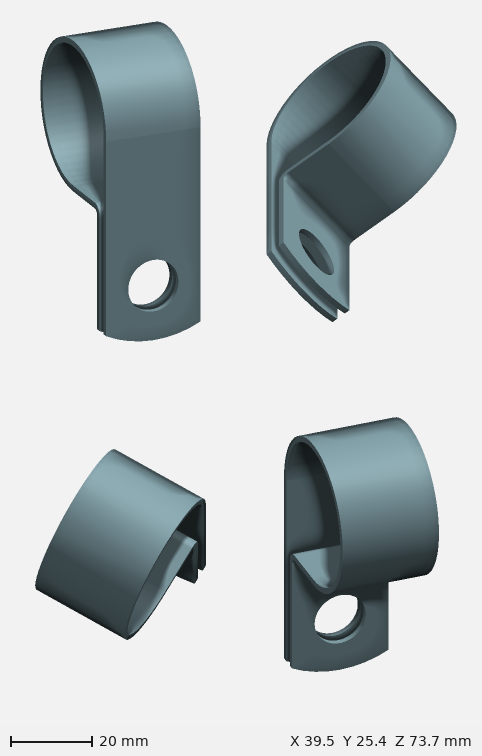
import cadquery as cq
import math

inner_diameter = 36.5
thickness = 1.524
width = 25.4
drop = 53.95
leg_gap = 2.38
bend_inner_radius = 1.45
hole_diameter = 13.49
hole_to_tip = 14.29
tip_radius = 28.58

inner_radius = inner_diameter / 2
outer_radius = inner_radius + thickness
bend_outer_radius = bend_inner_radius + thickness
short_leg_outer_x = inner_radius - leg_gap
short_leg_inner_x = short_leg_outer_x - thickness
bend_x = short_leg_outer_x - bend_outer_radius
bend_z = -inner_radius - bend_outer_radius


def loop_midpoint(radius):
    """Midpoint of the three-quarter-circle arc of the loop."""
    offset = radius * math.sqrt(0.5)
    return (-offset, offset)


def bend_midpoint(radius):
    """Midpoint of a quarter-circle arc around the bend centre."""
    offset = radius * math.sqrt(0.5)
    return (bend_x + offset, bend_z + offset)


def make_strip():
    """P-shaped strip: loop, shelf, bend and two legs, centred on Y = 0."""
    return (
        cq.Workplane("XZ")
        .moveTo(outer_radius, -drop)
        .lineTo(outer_radius, 0)
        .threePointArc(loop_midpoint(outer_radius), (0, -outer_radius))
        .lineTo(bend_x, -outer_radius)
        .threePointArc(bend_midpoint(bend_inner_radius), (short_leg_inner_x, bend_z))
        .lineTo(short_leg_inner_x, -drop)
        .lineTo(short_leg_outer_x, -drop)
        .lineTo(short_leg_outer_x, bend_z)
        .threePointArc(bend_midpoint(bend_outer_radius), (bend_x, -inner_radius))
        .lineTo(0, -inner_radius)
        .threePointArc(loop_midpoint(inner_radius), (inner_radius, 0))
        .lineTo(inner_radius, -drop)
        .close()
        .extrude(width / 2, both=True)
    )


def make_rounded_envelope():
    """Block with a rounded lower end that trims the tips of both legs."""
    half_width = width / 2
    corner_rise = tip_radius - math.sqrt(tip_radius**2 - half_width**2)
    corner_z = corner_rise - drop
    return (
        cq.Workplane("YZ")
        .moveTo(-half_width, outer_radius)
        .lineTo(-half_width, corner_z)
        .threePointArc((0, -drop), (half_width, corner_z))
        .lineTo(half_width, outer_radius)
        .close()
        .extrude(outer_radius, both=True)
    )


def make_bolt_hole():
    """Cylinder along X that passes through both legs."""
    return (
        cq.Workplane("YZ")
        .center(0, hole_to_tip - drop)
        .circle(hole_diameter / 2)
        .extrude(outer_radius)
    )


result = make_strip().intersect(make_rounded_envelope()).cut(make_bolt_hole())